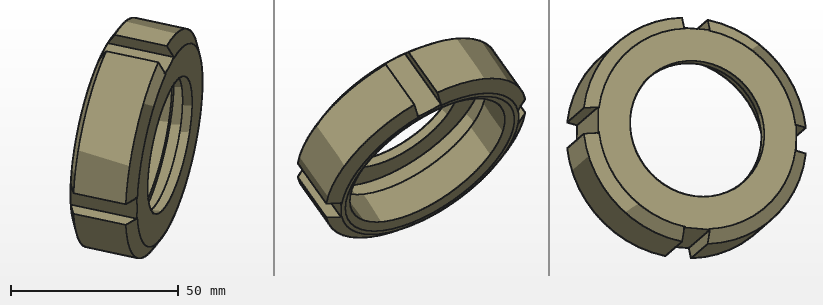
import cadquery as cq
import math

width = 21.0
outer_radius = 70.0 / 2
face_radius = 62.0 / 2
chamfer_angle = math.radians(30)

mouth_radius = 59.1 / 2
thread_radius = 54.19 / 2
relief_radius = 58.4 / 2
hole_radius = 42.0 / 2
wall_thickness = 3.0
relief_length = 5.4

slot_count = 4
slot_width = 8.0
slot_floor_radius = face_radius

outer_chamfer = (outer_radius - face_radius) * math.tan(chamfer_angle)
mouth_chamfer = (mouth_radius - thread_radius) * math.tan(chamfer_angle)
wall_start = width - wall_thickness
relief_start = wall_start - relief_length


def make_ring():
    """Revolve the half section, drawn as (axial, radial) points, about the X axis."""
    section = [
        (0, face_radius),
        (outer_chamfer, outer_radius),
        (width - outer_chamfer, outer_radius),
        (width, face_radius),
        (width, hole_radius),
        (wall_start, hole_radius),
        (wall_start, relief_radius),
        (relief_start, relief_radius),
        (relief_start, thread_radius),
        (mouth_chamfer, thread_radius),
        (0, mouth_radius),
    ]
    return cq.Workplane("XY").polyline(section).close().revolve(360, (0, 0), (1, 0))


def make_slot(angle):
    """Cutter for one flat-floored slot, turned about the X axis by angle in degrees."""
    slot_height = outer_radius - slot_floor_radius
    cutter = cq.Workplane("XY").box(width, slot_width, slot_height, centered=(False, True, False))
    return cutter.translate((0, 0, slot_floor_radius)).rotate((0, 0, 0), (1, 0, 0), angle)


result = make_ring()
for slot_index in range(slot_count):
    result = result.cut(make_slot(slot_index * 360 / slot_count))